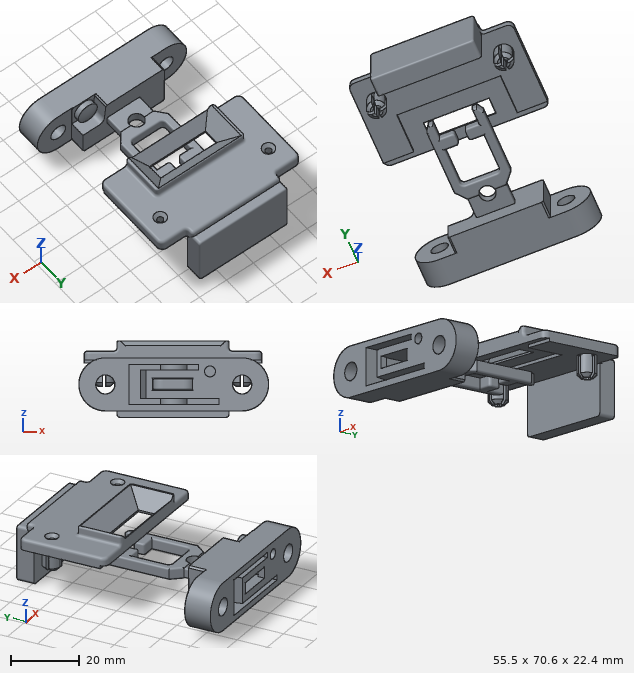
import cadquery as cq
import math


BASE_LENGTH = 55.5
BASE_HEIGHT = 15.5
FLANGE_DEPTH = 8.55
BLOCK_HALF_WIDTH = 15.1
BLOCK_BACK_Y = 14.05
BLOCK_EDGE = 0.6
SCREW_SPACING = 39.95
SCREW_HOLE_DIAMETER = 5.5

CHANNEL_LEFT_X = -13.1
CHANNEL_UPPER_RIGHT_X = 7.2
CHANNEL_LOWER_RIGHT_X = 13.2
CHANNEL_HALF_HEIGHT = 5.8
CHANNEL_DEPTH = 7.8
ISLAND_LEFT_X = -8.05
ISLAND_HALF_HEIGHT = 4.2
ISLAND_FLARE = 1.7
PIVOT_RADIUS = 3.9

WINDOW_LEFT_X = -6.2
WINDOW_RIGHT_X = 5.5
WINDOW_HEIGHT = 3.7
WINDOW_DEPTH = 2.1
CAVITY_HALF_WIDTH = 6.65
CAVITY_BACK_Y = 11.65

NOTCH_FLOOR_Z = 0.35
NOTCH_FRONT_Y = 8.75
NOTCH_MOUTH_X = 6.15
NOTCH_BEVEL = 0.5
NOTCH_WALL_X = 7.1
NOTCH_FILLET = 2.05
BUTTON_X = 10.6
BUTTON_Z = 3.8
BUTTON_RADIUS = 3.5
BUTTON_EDGE_Y = 10.6
BUTTON_TIP_Y = 11.2
BUTTON_HOLE_DIAMETER = 3.2
BUTTON_HOLE_DEPTH = 7.8

STEM_HALF_WIDTH = 6.11
STEM_THICKNESS = 3.1
STEM_START_Y = 8.5
STEM_END_RADIUS = 3.05
STEM_EDGE = 0.5
RING_HALF_WIDTH = 8.93
RING_THICKNESS = 3.6
RING_START_Y = 20.5
RING_SHOULDER_Y = 23.85
RING_TIP_Y = 46.75
RING_TIP_BEVEL_X = 1.3
RING_TIP_BEVEL_Y = 2.0
RING_EDGE = 0.6
OPENING_HALF_WIDTH = 6.2
OPENING_START_Y = 24.9
OPENING_CORNER = 1.35
HOOK_START_Y = 37.8
HOOK_END_Y = 41.6
HOOK_HALF_GAP = 1.6
HOOK_CORNER = 0.85
TONGUE_HOLE_Y = 20.2
TONGUE_HOLE_DIAMETER = 5.0

BRACKET_X = -0.2
PLATE_HALF_WIDTH = 26.0
PLATE_FRONT_Y = 35.5
PLATE_BACK_Y = 64.5
PLATE_BOTTOM_Z = 6.2
PLATE_TOP_Z = 9.75
PLATE_CORNER = 2.0
PLATE_EDGE = 1.0
RELIEF_TOP_Z = 7.2
RELIEF_LIP_Y = 37.4

TAB_BACK_Y = 67.3
WALL_HALF_WIDTH = 16.4
WALL_FRONT_Y = 64.7
WALL_BACK_Y = 70.6
WALL_BOTTOM_Z = -9.7
WALL_TOP_Z = 8.2
WALL_EDGE = 0.6
WALL_CORNER = 1.0

COLLAR_BACK_Y = 50.3
COLLAR_TOP_Z = 12.7
COLLAR_CORNER = 1.0
COLLAR_EDGE = 0.5
COLLAR_RIM = 1.0

THROAT_HALF_WIDTH = 10.4
THROAT_FRONT_Y = 39.2
THROAT_BACK_Y = 44.5
THROAT_TOP_Z = 7.85

PIN_SPACING = 40.25
PIN_Y = 56.6
PIN_RADIUS = 3.0
PIN_BOTTOM_Z = -0.6
PIN_CHAMFER = 1.1
PIN_SLOT = 0.9
PIN_SLOT_TOP_Z = 5.9
PIN_BORE_DIAMETER = 2.05
COUNTERSINK_DIAMETER = 4.25

TINY = 0.035


def span_box(x_range, y_range, z_range):
    """Box given by its lower and upper limits along each axis."""
    (x0, x1), (y0, y1), (z0, z1) = x_range, y_range, z_range
    return cq.Workplane("XY").box(x1 - x0, y1 - y0, z1 - z0, centered=False).translate((x0, y0, z0))


def front_face(y):
    """XZ workplane at the given Y whose extrusions run toward +Y (local y is -Z)."""
    return cq.Workplane(cq.Plane((0, y, 0), xDir=(1, 0, 0), normal=(0, 1, 0)))


def make_base():
    flange = front_face(0).slot2D(BASE_LENGTH, BASE_HEIGHT).extrude(FLANGE_DEPTH)
    block = (
        front_face(0)
        .rect(2 * BLOCK_HALF_WIDTH, BASE_HEIGHT)
        .extrude(BLOCK_BACK_Y)
        .edges("|Y")
        .chamfer(BLOCK_EDGE)
    )
    holes = (
        front_face(0)
        .pushPoints([(-SCREW_SPACING / 2, 0), (SCREW_SPACING / 2, 0)])
        .circle(SCREW_HOLE_DIAMETER / 2)
        .extrude(FLANGE_DEPTH)
    )
    return flange.union(block).cut(holes)


def make_channel():
    """Space of the C-shaped channel: two arms and a web, with a half-round pivot on its floor."""
    depth = (0, CHANNEL_DEPTH)
    height = CHANNEL_HALF_HEIGHT
    upper = span_box((CHANNEL_LEFT_X, CHANNEL_UPPER_RIGHT_X), depth, (ISLAND_HALF_HEIGHT, height))
    lower = span_box((CHANNEL_LEFT_X, CHANNEL_LOWER_RIGHT_X), depth, (-height, -ISLAND_HALF_HEIGHT))
    web = (
        cq.Workplane("XY")
        .workplane(offset=-ISLAND_HALF_HEIGHT)
        .moveTo(CHANNEL_LEFT_X, 0)
        .lineTo(ISLAND_LEFT_X, 0)
        .lineTo(ISLAND_LEFT_X - ISLAND_FLARE, CHANNEL_DEPTH)
        .lineTo(CHANNEL_LEFT_X, CHANNEL_DEPTH)
        .close()
        .extrude(2 * ISLAND_HALF_HEIGHT)
    )
    pivot = (
        cq.Workplane("XY")
        .workplane(offset=-height)
        .center(0, CHANNEL_DEPTH)
        .circle(PIVOT_RADIUS)
        .extrude(2 * height)
    )
    return upper.union(web).union(lower).cut(pivot)


def make_window():
    """Slot through the face of the island, opening into a wider cavity around the tongue's end."""
    half_height = WINDOW_HEIGHT / 2
    mouth = span_box(
        (WINDOW_LEFT_X, WINDOW_RIGHT_X), (0, WINDOW_DEPTH), (-half_height, half_height)
    )
    cavity = span_box(
        (-CAVITY_HALF_WIDTH, CAVITY_HALF_WIDTH),
        (WINDOW_DEPTH, CAVITY_BACK_Y),
        (-half_height, half_height),
    )
    return mouth.union(cavity)


def make_notch():
    """Open corner of the rear block, with a bevelled mouth and a filleted foot."""
    top = BASE_HEIGHT / 2
    right = BLOCK_HALF_WIDTH
    foot_z = NOTCH_FLOOR_Z + NOTCH_FILLET
    foot_mid = NOTCH_FILLET * (1 - math.sqrt(0.5))
    return (
        cq.Workplane("XZ", origin=(0, BLOCK_BACK_Y, 0))
        .moveTo(NOTCH_MOUTH_X, top)
        .lineTo(NOTCH_MOUTH_X + NOTCH_BEVEL, top - NOTCH_BEVEL)
        .lineTo(NOTCH_WALL_X, foot_z)
        .threePointArc(
            (NOTCH_WALL_X + foot_mid, NOTCH_FLOOR_Z + foot_mid),
            (NOTCH_WALL_X + NOTCH_FILLET, NOTCH_FLOOR_Z),
        )
        .lineTo(right, NOTCH_FLOOR_Z)
        .lineTo(right, top)
        .close()
        .extrude(BLOCK_BACK_Y - NOTCH_FRONT_Y)
    )


def make_button():
    """Domed stud with its axis along Y."""
    chord = BUTTON_RADIUS
    rise = BUTTON_TIP_Y - BUTTON_EDGE_Y
    dome_radius = (chord**2 + rise**2) / (2 * rise)
    mid_x = chord / 2
    mid_y = BUTTON_TIP_Y - dome_radius + math.sqrt(dome_radius**2 - mid_x**2)
    return (
        cq.Workplane("XY")
        .moveTo(0, FLANGE_DEPTH)
        .lineTo(BUTTON_RADIUS, FLANGE_DEPTH)
        .lineTo(BUTTON_RADIUS, BUTTON_EDGE_Y)
        .threePointArc((mid_x, mid_y), (0, BUTTON_TIP_Y))
        .close()
        .revolve(360, (0, 0, 0), (0, 1, 0))
        .translate((BUTTON_X, 0, BUTTON_Z))
    )


def make_button_hole():
    return (
        front_face(0)
        .center(BUTTON_X, -BUTTON_Z)
        .circle(BUTTON_HOLE_DIAMETER / 2)
        .extrude(BUTTON_HOLE_DEPTH)
    )


def make_stem():
    return (
        span_box(
            (-STEM_HALF_WIDTH, STEM_HALF_WIDTH),
            (STEM_START_Y, RING_SHOULDER_Y),
            (-STEM_THICKNESS / 2, STEM_THICKNESS / 2),
        )
        .edges("|Z and <Y")
        .fillet(STEM_END_RADIUS)
        .faces("<Z or >Z")
        .edges()
        .fillet(STEM_EDGE)
    )


def make_ring():
    """Fork-shaped ring: two arms, each with a hook that turns inward, open at the tip."""
    right_side = [
        (STEM_HALF_WIDTH, RING_START_Y),
        (RING_HALF_WIDTH, RING_SHOULDER_Y),
        (RING_HALF_WIDTH, RING_TIP_Y - RING_TIP_BEVEL_Y),
        (RING_HALF_WIDTH - RING_TIP_BEVEL_X, RING_TIP_Y),
        (OPENING_HALF_WIDTH, RING_TIP_Y),
        (OPENING_HALF_WIDTH, HOOK_END_Y),
        (HOOK_HALF_GAP, HOOK_END_Y),
        (HOOK_HALF_GAP, HOOK_START_Y),
        (OPENING_HALF_WIDTH, HOOK_START_Y),
        (OPENING_HALF_WIDTH, OPENING_START_Y),
    ]
    left_side = [(-x, y) for x, y in reversed(right_side)]
    ring = (
        cq.Workplane("XY")
        .workplane(offset=-RING_THICKNESS / 2)
        .polyline(right_side + left_side)
        .close()
        .extrude(RING_THICKNESS)
    )
    middle = RING_THICKNESS
    opening_corners = cq.selectors.BoxSelector(
        (-OPENING_HALF_WIDTH - TINY, OPENING_START_Y - TINY, -middle),
        (OPENING_HALF_WIDTH + TINY, OPENING_START_Y + TINY, middle),
    )
    hook_tips = cq.selectors.BoxSelector(
        (-HOOK_HALF_GAP - TINY, HOOK_START_Y - TINY, -middle),
        (HOOK_HALF_GAP + TINY, HOOK_END_Y + TINY, middle),
    )
    ring = ring.edges("|Z").edges(opening_corners).fillet(OPENING_CORNER)
    ring = ring.edges("|Z").edges(hook_tips).fillet(HOOK_CORNER)
    return ring.faces("<Z or >Z").edges().fillet(RING_EDGE)


def make_key():
    base = make_base().cut(make_channel()).cut(make_window()).cut(make_notch())
    base = base.union(make_button()).cut(make_button_hole())
    tongue_hole = (
        cq.Workplane("XY")
        .center(0, TONGUE_HOLE_Y)
        .circle(TONGUE_HOLE_DIAMETER / 2)
        .extrude(RING_THICKNESS, both=True)
    )
    tongue = make_stem().union(make_ring()).cut(tongue_hole)
    return base.union(tongue)


def make_plate():
    """Flat plate with a tab at the rear and a raised collar that blends into it all round."""
    tab_corners = cq.selectors.BoxSelector(
        (-WALL_HALF_WIDTH - TINY, PLATE_BACK_Y - TINY, PLATE_BOTTOM_Z),
        (WALL_HALF_WIDTH + TINY, PLATE_BACK_Y + TINY, PLATE_TOP_Z),
    )
    collar_foot = cq.selectors.BoxSelector(
        (-WALL_HALF_WIDTH - TINY, PLATE_FRONT_Y + TINY, PLATE_TOP_Z - TINY),
        (WALL_HALF_WIDTH + TINY, COLLAR_BACK_Y + TINY, PLATE_TOP_Z + TINY),
    )
    front_edges = cq.selectors.BoxSelector(
        (-PLATE_HALF_WIDTH, PLATE_FRONT_Y - TINY, PLATE_TOP_Z - TINY),
        (PLATE_HALF_WIDTH, PLATE_FRONT_Y + TINY, PLATE_TOP_Z + TINY),
    )
    height = (PLATE_BOTTOM_Z, PLATE_TOP_Z)
    main = span_box((-PLATE_HALF_WIDTH, PLATE_HALF_WIDTH), (PLATE_FRONT_Y, PLATE_BACK_Y), height)
    tab = span_box((-WALL_HALF_WIDTH, WALL_HALF_WIDTH), (RELIEF_LIP_Y, TAB_BACK_Y), height)
    collar = span_box(
        (-WALL_HALF_WIDTH, WALL_HALF_WIDTH),
        (PLATE_FRONT_Y, COLLAR_BACK_Y),
        (PLATE_BOTTOM_Z, COLLAR_TOP_Z),
    )
    plate = main.edges("|Z").fillet(PLATE_CORNER).union(tab)
    plate = plate.edges("|Z").edges(tab_corners).fillet(PLATE_EDGE)
    plate = plate.union(collar.edges("|Z and >Y").fillet(COLLAR_CORNER))
    plate = plate.edges(collar_foot).fillet(PLATE_EDGE)
    plate = plate.edges("|X").edges(front_edges).fillet(PLATE_EDGE)
    plate = plate.faces(">Y").edges(">Z").fillet(PLATE_EDGE)
    return plate.faces(">Z").edges("not <Y").fillet(COLLAR_EDGE)


def make_wall():
    """Upright rear wall below the tab."""
    wall = span_box(
        (-WALL_HALF_WIDTH, WALL_HALF_WIDTH),
        (WALL_FRONT_Y, WALL_BACK_Y),
        (WALL_BOTTOM_Z, WALL_TOP_Z),
    )
    wall = wall.edges("|Y").fillet(WALL_CORNER)
    return wall.faces(">Y").edges().fillet(WALL_EDGE)


def make_funnel():
    """Four slopes running down from the collar's rim to a rectangular throat."""
    rim_half_width = WALL_HALF_WIDTH - COLLAR_RIM
    slope_run = rim_half_width - THROAT_HALF_WIDTH
    rim_front_y = THROAT_FRONT_Y - slope_run
    rim_back_y = COLLAR_BACK_Y - COLLAR_EDGE
    throat_depth = THROAT_BACK_Y - THROAT_FRONT_Y
    rim_depth = rim_back_y - rim_front_y
    throat_mid_y = (THROAT_FRONT_Y + THROAT_BACK_Y) / 2
    rim_mid_y = (rim_front_y + rim_back_y) / 2
    slopes = (
        cq.Workplane("XY", origin=(0, throat_mid_y, THROAT_TOP_Z))
        .rect(2 * THROAT_HALF_WIDTH, throat_depth)
        .workplane(offset=COLLAR_TOP_Z - THROAT_TOP_Z)
        .center(0, rim_mid_y - throat_mid_y)
        .rect(2 * rim_half_width, rim_depth)
        .loft(ruled=True)
    )
    throat = span_box(
        (-THROAT_HALF_WIDTH, THROAT_HALF_WIDTH),
        (THROAT_FRONT_Y, THROAT_BACK_Y),
        (PLATE_BOTTOM_Z, THROAT_TOP_Z),
    )
    return slopes.union(throat)


def make_relief():
    """Shallow recess on the underside, along the front edge and below the collar."""
    height = (PLATE_BOTTOM_Z, RELIEF_TOP_Z)
    front_step = span_box(
        (-PLATE_HALF_WIDTH, PLATE_HALF_WIDTH), (PLATE_FRONT_Y, RELIEF_LIP_Y), height
    )
    below_collar = span_box(
        (-WALL_HALF_WIDTH, WALL_HALF_WIDTH), (PLATE_FRONT_Y, COLLAR_BACK_Y), height
    )
    return front_step.union(below_collar)


def make_pin(x):
    """Snap pin hanging from the plate, split crosswise into four quarters."""
    height = PLATE_TOP_Z - PIN_BOTTOM_Z - PLATE_EDGE
    slot_height = PIN_SLOT_TOP_Z - PIN_BOTTOM_Z
    pin = (
        cq.Workplane("XY")
        .workplane(offset=PIN_BOTTOM_Z)
        .circle(PIN_RADIUS)
        .extrude(height)
        .faces("<Z")
        .chamfer(PIN_CHAMFER)
    )
    slots = (
        cq.Workplane("XY")
        .workplane(offset=PIN_BOTTOM_Z)
        .rect(2 * PIN_RADIUS, PIN_SLOT)
        .extrude(slot_height)
        .union(
            cq.Workplane("XY")
            .workplane(offset=PIN_BOTTOM_Z)
            .rect(PIN_SLOT, 2 * PIN_RADIUS)
            .extrude(slot_height)
        )
    )
    return pin.cut(slots).translate((x, PIN_Y, 0))


def make_pin_bore(x):
    """Bore through plate and pin, with a conical countersink on top."""
    bore_radius = PIN_BORE_DIAMETER / 2
    sink_radius = COUNTERSINK_DIAMETER / 2
    return (
        cq.Workplane("XZ")
        .moveTo(0, PIN_BOTTOM_Z)
        .lineTo(bore_radius, PIN_BOTTOM_Z)
        .lineTo(bore_radius, PLATE_TOP_Z - (sink_radius - bore_radius))
        .lineTo(sink_radius, PLATE_TOP_Z)
        .lineTo(0, PLATE_TOP_Z)
        .close()
        .revolve(360, (0, 0, 0), (0, 1, 0))
        .translate((x, PIN_Y, 0))
    )


def make_bracket():
    bracket = make_plate().union(make_wall())
    bracket = bracket.cut(make_funnel()).cut(make_relief())
    for x in (-PIN_SPACING / 2, PIN_SPACING / 2):
        bracket = bracket.union(make_pin(x)).cut(make_pin_bore(x))
    return bracket.translate((BRACKET_X, 0, 0))


key = make_key()
bracket = make_bracket()
result = cq.Compound.makeCompound([key.val(), bracket.val()])